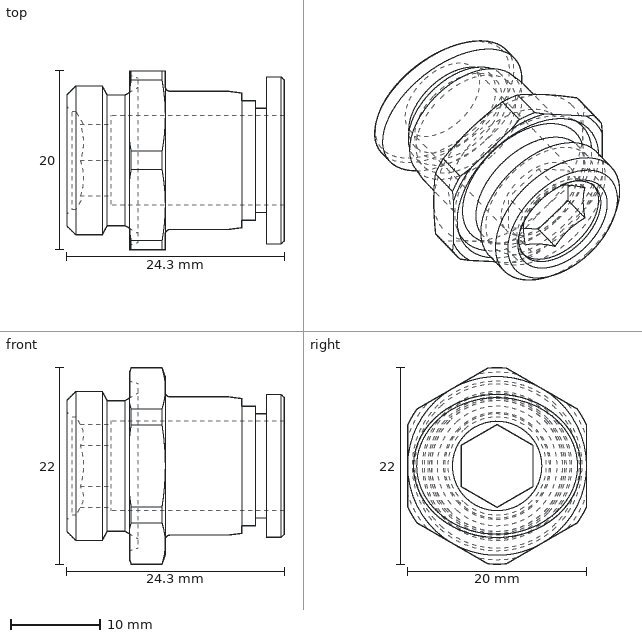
import cadquery as cq
import math


thread_radius = 8.35
thread_chamfer = 1.0
thread_end = 3.95
relief_radius = 7.32
relief_start = 4.5
relief_end = 6.5
relief_flare_angle = 30.0

hex_start = 7.0
hex_width = 4.0
hex_end = hex_start + hex_width
hex_across_flats = 20.0
hex_corner_radius = 11.0
hex_chamfer_angle = 20.0
hex_front_face_radius = 10.5
hex_rear_face_radius = hex_across_flats / 2

recess_depth = 0.95
recess_mouth_radius = 9.5
recess_floor_radius = 9.2

body_radius = 7.75
body_fillet = 0.5
body_taper_start = 18.0
body_end = 19.55
body_end_radius = 7.55
collar_radius = 6.7
collar_end = 21.1
sleeve_radius = 5.85

ring_start = 22.3
ring_end = 24.3
ring_half_width = 9.35
ring_half_height = 8.0
ring_chamfer = 0.36

mouth_radius = 6.0
mouth_depth = 0.55
counterbore_radius = 5.5
counterbore_depth = 1.0
socket_across_flats = 8.0
socket_cone_angle = 60.0
socket_depth = 4.9
tube_bore_radius = 5.0


def rise(run, angle):
    """Height gained over a run along a slope at the given angle in degrees."""
    return run * math.tan(math.radians(angle))


def revolve_about_x(points):
    """Solid of revolution from (x, radius) points; the first and last lie on the axis."""
    return cq.Workplane("XY").polyline(points).close().revolve(360, (0, 0, 0), (1, 0, 0))


def hex_prism(across_flats, start, length):
    """Hexagonal prism along X with two corners on the Z axis."""
    corner_diameter = across_flats / math.cos(math.pi / 6)
    return (
        cq.Workplane("YZ", origin=(start, 0, 0))
        .transformed(rotate=(0, 0, 90))
        .polygon(6, corner_diameter)
        .extrude(length)
    )


def make_male_end():
    recess_floor = hex_start + recess_depth
    flare_radius = relief_radius + rise(recess_floor - relief_end, relief_flare_angle)
    return revolve_about_x([
        (0, 0),
        (0, thread_radius - thread_chamfer),
        (thread_chamfer, thread_radius),
        (thread_end, thread_radius),
        (relief_start, relief_radius),
        (relief_end, relief_radius),
        (recess_floor, flare_radius),
        (recess_floor, 0),
    ])


def make_wrench_hex():
    front_chamfer = rise(hex_corner_radius - hex_front_face_radius, hex_chamfer_angle)
    rear_chamfer = rise(hex_corner_radius - hex_rear_face_radius, hex_chamfer_angle)
    turned_blank = revolve_about_x([
        (hex_start, 0),
        (hex_start, hex_front_face_radius),
        (hex_start + front_chamfer, hex_corner_radius),
        (hex_end - rear_chamfer, hex_corner_radius),
        (hex_end, hex_rear_face_radius),
        (hex_end, 0),
    ])
    recess = revolve_about_x([
        (hex_start, 0),
        (hex_start, recess_mouth_radius),
        (hex_start + recess_depth, recess_floor_radius),
        (hex_start + recess_depth, 0),
    ])
    return hex_prism(hex_across_flats, hex_start, hex_width).intersect(turned_blank).cut(recess)


def make_tube_side():
    fillet_end = hex_end + body_fillet
    fillet_top = body_radius + body_fillet
    fillet_reach = body_fillet * math.cos(math.pi / 4)
    fillet_middle = (fillet_end - fillet_reach, fillet_top - fillet_reach)
    return (
        cq.Workplane("XY")
        .moveTo(hex_end, 0)
        .lineTo(hex_end, fillet_top)
        .threePointArc(fillet_middle, (fillet_end, body_radius))
        .lineTo(body_taper_start, body_radius)
        .lineTo(body_end, body_end_radius)
        .lineTo(body_end, collar_radius)
        .lineTo(collar_end, collar_radius)
        .lineTo(collar_end, sleeve_radius)
        .lineTo(ring_start, sleeve_radius)
        .lineTo(ring_start, 0)
        .close()
        .revolve(360, (0, 0, 0), (1, 0, 0))
    )


def make_release_ring():
    return (
        cq.Workplane("YZ", origin=(ring_start, 0, 0))
        .ellipse(ring_half_width, ring_half_height)
        .extrude(ring_end - ring_start)
        .faces(">X")
        .chamfer(ring_chamfer)
    )


def make_bore():
    cone_length = counterbore_radius / math.tan(math.radians(socket_cone_angle))
    socket_entry = revolve_about_x([
        (0, 0),
        (0, mouth_radius),
        (mouth_depth, counterbore_radius),
        (counterbore_depth, counterbore_radius),
        (counterbore_depth + cone_length, 0),
    ])
    tube_bore = (
        cq.Workplane("YZ", origin=(socket_depth, 0, 0))
        .circle(tube_bore_radius)
        .extrude(ring_end - socket_depth)
    )
    socket = hex_prism(socket_across_flats, 0, socket_depth)
    return socket_entry.union(socket).union(tube_bore)


outside = make_male_end().union(make_wrench_hex()).union(make_tube_side()).union(make_release_ring())
result = outside.cut(make_bore())